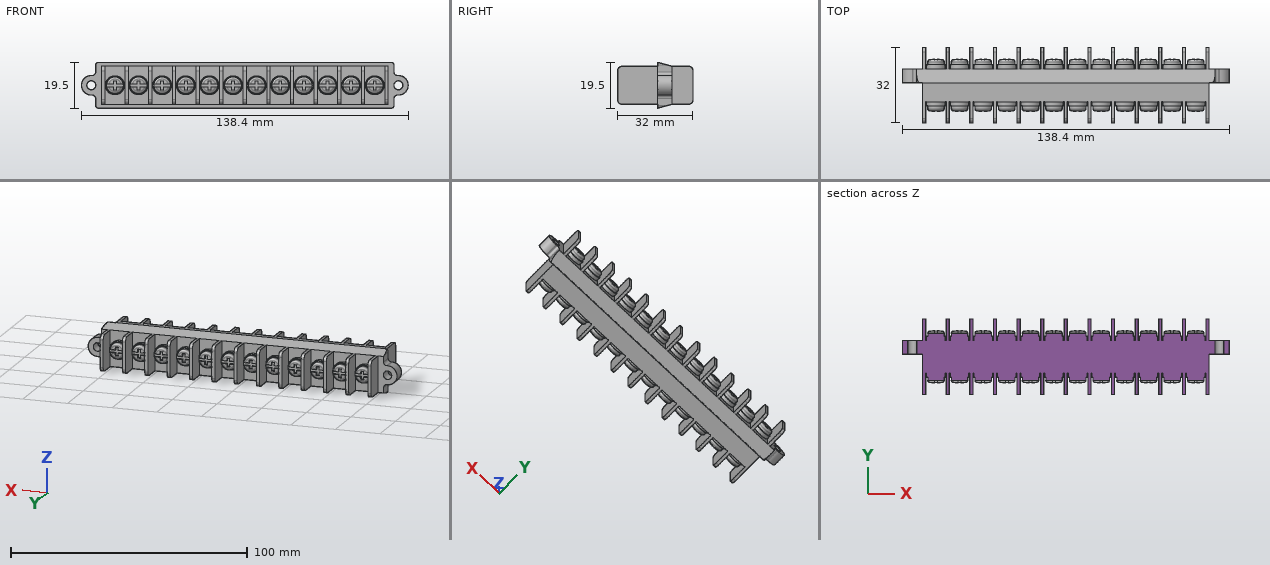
import cadquery as cq
import math


overall_length = 138.4
overall_depth = 32.0

terminal_count = 12
pitch = 10.0
plate_thickness = 1.4
plate_height = 16.2
plate_corner_radius = 2.0

body_depth = 14.0
body_length = terminal_count * pitch + plate_thickness

flange_length = 126.4
flange_height = 19.5
flange_thickness = 6.0
flange_corner_radius = 1.25
flange_back_y = body_depth / 2
flange_front_y = flange_back_y - flange_thickness

ear_radius = 4.2
ear_hole_diameter = 3.7
ear_root_radius = 1.4
ear_center_x = overall_length / 2 - ear_radius

washer_diameter = 8.0
washer_thickness = 1.7
head_diameter = 7.1
head_height = 2.55
head_edge_radius = 0.95
crown_angle = math.radians(8.0)
slot_width = 1.25
slot_depth = 1.2
cross_slot_length = 3.8


def make_body():
    return cq.Workplane("XY").box(body_length, body_depth, plate_height)


def make_plate(x):
    plate = cq.Workplane("XY").box(plate_thickness, overall_depth, plate_height)
    return plate.edges("|X").fillet(plate_corner_radius).translate((x, 0, 0))


def make_flange():
    """Tapered rounded plate with a drilled, blended ear at each end."""
    plane = cq.Workplane("XZ", origin=(0, flange_back_y, 0))
    flange = plane.rect(flange_length, flange_height).extrude(flange_thickness)
    flange = flange.edges("|Y").fillet(flange_corner_radius)
    taper = (
        cq.Workplane("YZ")
        .moveTo(flange_front_y, -flange_height / 2)
        .lineTo(flange_back_y, -plate_height / 2)
        .lineTo(flange_back_y, plate_height / 2)
        .lineTo(flange_front_y, flange_height / 2)
        .close()
        .extrude(flange_length / 2, both=True)
    )
    flange = flange.intersect(taper)

    ears = plane.slot2D(overall_length, 2 * ear_radius).extrude(flange_thickness)
    flange = flange.union(ears)
    root_half_size = ear_root_radius / 2
    for side in (-1, 1):
        root = cq.selectors.BoxSelector(
            (side * flange_length / 2 - root_half_size, flange_front_y, -ear_radius - root_half_size),
            (side * flange_length / 2 + root_half_size, flange_back_y, ear_radius + root_half_size),
        )
        flange = flange.edges("|Y").edges(root).fillet(ear_root_radius)

    holes = (
        plane.pushPoints([(-ear_center_x, 0), (ear_center_x, 0)])
        .circle(ear_hole_diameter / 2)
        .extrude(flange_thickness)
    )
    return flange.cut(holes)


def make_screw():
    """Screw standing on the front body face, centred on X = 0 and pointing to -Y."""
    seat_y = -body_depth / 2
    washer_radius = washer_diameter / 2
    head_radius = head_diameter / 2
    crown_radius = head_radius - head_edge_radius
    crown_slope = math.tan(crown_angle)

    washer_rim_y = seat_y - washer_thickness
    head_root_y = washer_rim_y - (washer_radius - head_radius) * crown_slope
    top_y = washer_rim_y - head_height
    crown_rim_y = top_y + crown_radius * crown_slope
    arc_start_y = crown_rim_y + head_edge_radius
    arc_middle = (
        crown_radius + head_edge_radius * math.sqrt(0.5),
        arc_start_y - head_edge_radius * math.sqrt(0.5),
    )
    screw = (
        cq.Workplane("XY")
        .moveTo(0, seat_y)
        .lineTo(washer_radius, seat_y)
        .lineTo(washer_radius, washer_rim_y)
        .lineTo(head_radius, head_root_y)
        .lineTo(head_radius, arc_start_y)
        .threePointArc(arc_middle, (crown_radius, crown_rim_y))
        .lineTo(0, top_y)
        .close()
        .revolve(360, (0, 0, 0), (0, 1, 0))
    )
    slot_plane = cq.Workplane("XZ", origin=(0, top_y + slot_depth, 0))
    slot = slot_plane.rect(head_diameter, slot_width).extrude(slot_depth)
    cross_slot = slot_plane.rect(slot_width, cross_slot_length).extrude(slot_depth)
    return screw.cut(slot).cut(cross_slot)


result = make_body().union(make_flange())

for index in range(terminal_count + 1):
    result = result.union(make_plate((index - terminal_count / 2) * pitch))

front_screw = make_screw()
back_screw = front_screw.mirror("XZ")
for index in range(terminal_count):
    screw_x = (index - (terminal_count - 1) / 2) * pitch
    for screw in (front_screw, back_screw):
        result = result.union(screw.translate((screw_x, 0, 0)))